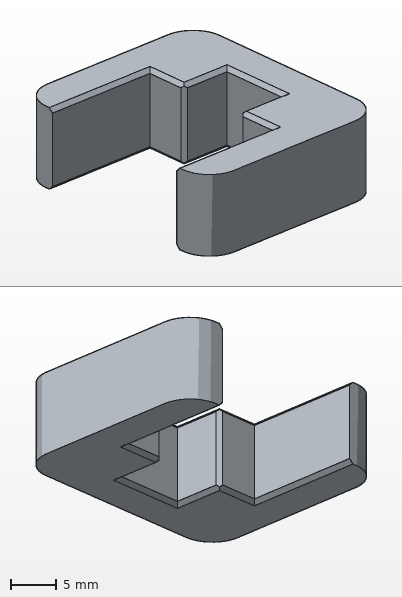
import cadquery as cq

width = 30.0
depth = 26.2
height = 10.0
corner_radius = 4.0

wall = 5.0
mouth_width = width - 2 * wall
mouth_depth = 14.7
recess_width = 9.0
opening_depth = depth - wall

chamfer = 0.5


def opening_outline(growth=0.0, corner_cut=0.0):
    """Points of the opening, grown outward by growth, with its convex corners cut by corner_cut."""
    mouth_x = mouth_width / 2 + growth
    recess_x = recess_width / 2 + growth
    step_y = mouth_depth + growth
    end_y = opening_depth + growth

    right_half = [(mouth_x, 0), (mouth_x, step_y)]
    if corner_cut > 0:
        right_half += [(recess_x + corner_cut, step_y), (recess_x, step_y + corner_cut)]
    else:
        right_half += [(recess_x, step_y)]
    right_half += [(recess_x, end_y)]

    left_half = [(-x, y) for x, y in reversed(right_half)]
    return right_half + left_half


def make_block():
    block = cq.Workplane("XY").box(width, depth, height, centered=(True, False, False))
    return block.edges("|Z").fillet(corner_radius)


def make_opening():
    """Straight passage through the full height, with its convex vertical corners chamfered."""
    return cq.Workplane("XY").polyline(opening_outline(corner_cut=chamfer)).close().extrude(height)


def make_rim(face_z, inward):
    """Flared layer that chamfers the rim at face_z; inward is +1 or -1 along Z."""
    return (
        cq.Workplane("XY", origin=(0, 0, face_z))
        .polyline(opening_outline(growth=chamfer))
        .close()
        .workplane(offset=inward * chamfer)
        .polyline(opening_outline())
        .close()
        .loft(ruled=True)
    )


result = make_block().cut(make_opening())
for face_z, inward in ((0, 1), (height, -1)):
    result = result.cut(make_rim(face_z, inward))